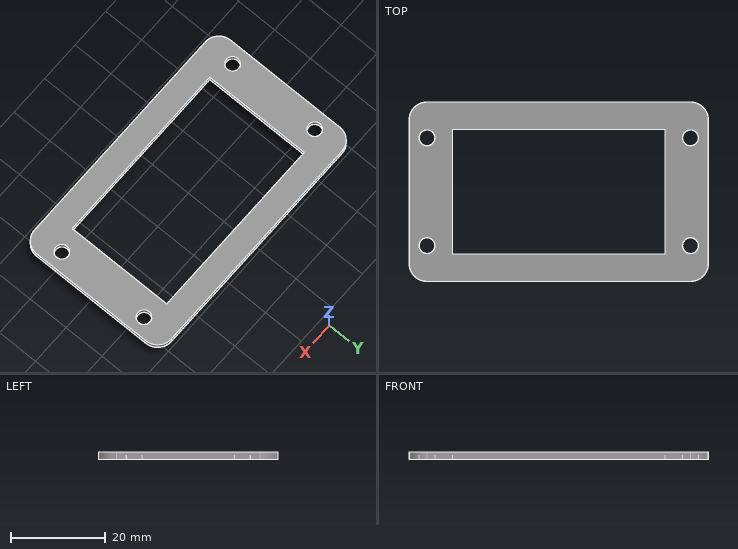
import cadquery as cq

length = 63.5
width = 38.1
thickness = 1.6
corner_radius = 3.81

window_length = 45.0
window_width = 26.3

hole_diameter = 3.3
hole_end_margin = corner_radius
hole_side_margin = 2 * corner_radius
hole_spacing_x = length - 2 * hole_end_margin
hole_spacing_y = width - 2 * hole_side_margin


def make_plate():
    """Flat plate with rounded vertical corners, resting on Z = 0."""
    plate = cq.Workplane("XY").box(length, width, thickness, centered=(True, True, False))
    return plate.edges("|Z").fillet(corner_radius)


def cut_window(plate):
    """Cut the sharp-cornered window through the plate."""
    return plate.faces(">Z").workplane(origin=(0, 0, 0)).rect(window_length, window_width).cutThruAll()


def drill_mounting_holes(plate):
    """Drill one through hole near each corner."""
    top_plane = plate.faces(">Z").workplane(origin=(0, 0, 0))
    hole_centres = top_plane.rect(hole_spacing_x, hole_spacing_y, forConstruction=True).vertices()
    return hole_centres.hole(hole_diameter)


result = drill_mounting_holes(cut_window(make_plate()))